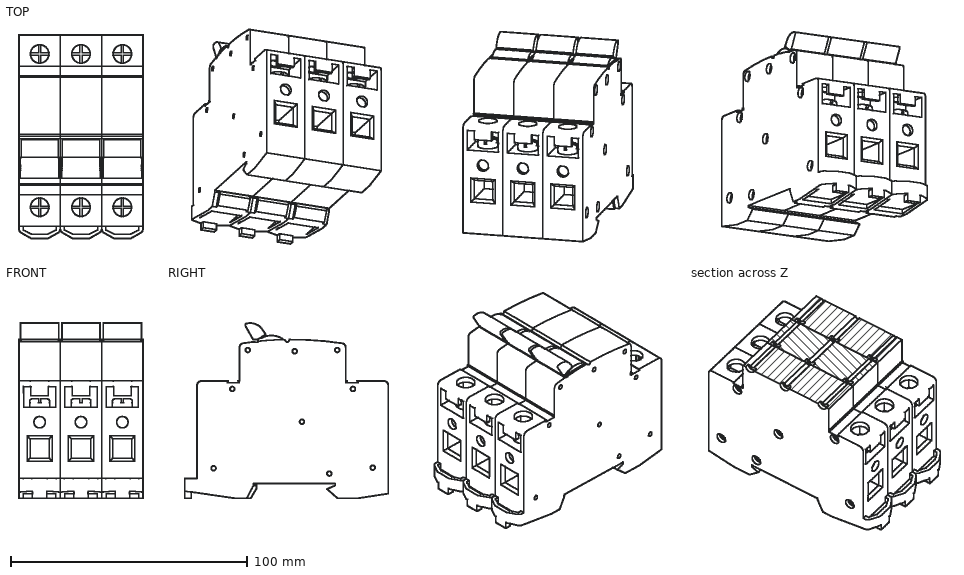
import cadquery as cq
import math


pole_count = 3
pole_width = 17.5
half_width = pole_width / 2

depth = 81.0
mid_y = depth / 2
shelf_z = 49.7
shelf_radius = 2.1
tower_half_depth = 22.5
tower_shoulder_z = 65.4
tower_crown_z = 67.2
tower_radius = 1.8

rail_roof_z = 6.3
rail_back_y = 58.5
rail_front_y = 24.0
rail_lip_z = 5.5
hook_tip_y = 55.0
hook_tip_z = 4.0
hook_heel_y = 59.6
rear_slope_y = 68.1
rear_corner_z = 2.0
clip_heel_y = 21.1
clip_slope_y = 16.1
clip_slope = 0.145

groove_depth = 0.8
groove_open_near = 23.2
groove_open_far = 27.15
groove_floor_far = 27.7

notch_back_y = 39.05
notch_floor_z = 66.2
notch_radius = 0.8
notch_front_y = 38.0
gap_back_y = 25.8
gap_front_y = 24.5
gap_floor_z = 66.1

drum_y = 31.55
drum_z = 60.5
drum_radius = 8.45
drum_width = 15.7
lever_width = 16.2
lever_heel = (29.2, 69.3)
lever_back_top = (27.5, 71.8)
lever_arc_y = 22.6
lever_arc_radius = 6.3
lever_top_z = 74.2
lever_tip_y = 20.1
lever_toe = (23.8, 67.15)
lever_inner_toe = (25.5, 67.15)
lever_tip_radius = 0.7
neck_back_y = 27.2

window_width = 13.6
window_floor_z = 38.6
window_top_z = 47.2
cavity_depth = 13.1
tongue_width = 7.5
tongue_bottom_z = 43.4
tongue_thickness = 1.7
screw_y = 8.1
access_radius = 3.9
screw_radius = 4.2
screw_height = 3.45
screw_rounding = 0.95
screw_slot_width = 0.95
screw_slot_depth = 1.55
dimple_z = 32.2
dimple_radius = 2.4
dimple_depth = 2.1
wire_z = 21.1
wire_mouth = 10.6
wire_bore = 8.1
wire_funnel_depth = 1.3
wire_depth = 17.2

rivet_radius = 0.95
rivet_recess_radius = 2.15
rivet_recess_depth = 1.7
rivet_places = [
    (21.55, 62.75), (41.4, 62.2), (59.4, 62.75),
    (15.0, 46.3), (66.0, 46.3), (44.5, 32.4),
    (7.1, 12.8), (56.0, 10.5), (74.4, 13.0),
]

clip_top_z = 8.45
rim_reach = 5.2
rim_side_reach = 2.2
rim_front_half = 3.5
rim_side_radius = 2.0
rim_front_radius = 1.3
pocket_half = 7.0
pocket_side_reach = 1.55
pocket_front_half = 3.3
pocket_reach = 3.4
pocket_floor_z = 5.5
foot_width = 6.0
foot_back_y = -2.3
tooth_width = 13.8
tooth_tip_y = 25.3
tooth_tip_z = 4.3
tooth_root_y = 22.8
recess_width = 13.8
recess_roof_z = 1.9


def prism_x(points, width):
    """Closed (Y, Z) polygon extruded along X, centred on X = 0."""
    return cq.Workplane("YZ").polyline(points).close().extrude(width / 2, both=True)


def block(width, y_from, y_to, z_from, z_to):
    """Box centred on X = 0 between two Y and two Z values."""
    return (
        cq.Workplane("XY")
        .box(width, y_to - y_from, z_to - z_from, centered=(True, False, False))
        .translate((0, y_from, z_from))
    )


def mirrored_back(shape):
    """Copy of a front feature at the back of the pole."""
    return shape.mirror("XZ").translate((0, depth, 0))


def clip_bottom_z(y):
    """Height of the sloping underside at a given Y."""
    return clip_slope * (clip_slope_y - y)


def housing_block():
    tower_front_y = mid_y - tower_half_depth
    tower_back_y = mid_y + tower_half_depth
    body = (
        cq.Workplane("YZ")
        .moveTo(0, clip_bottom_z(0))
        .lineTo(0, shelf_z)
        .lineTo(tower_front_y, shelf_z)
        .lineTo(tower_front_y, tower_shoulder_z)
        .threePointArc((mid_y, tower_crown_z), (tower_back_y, tower_shoulder_z))
        .lineTo(tower_back_y, shelf_z)
        .lineTo(depth, shelf_z)
        .lineTo(depth, rear_corner_z)
        .lineTo(rear_slope_y, 0)
        .lineTo(hook_heel_y, 0)
        .lineTo(hook_tip_y, hook_tip_z)
        .lineTo(rail_back_y, rail_lip_z)
        .lineTo(rail_back_y, rail_roof_z)
        .lineTo(rail_front_y, rail_roof_z)
        .lineTo(rail_front_y, rail_lip_z)
        .lineTo(clip_heel_y, 0)
        .lineTo(clip_slope_y, 0)
        .close()
        .extrude(half_width, both=True)
    )
    rounded_edges = [
        (0, shelf_z, shelf_radius),
        (depth, shelf_z, shelf_radius),
        (tower_front_y, tower_shoulder_z, tower_radius),
        (tower_back_y, tower_shoulder_z, tower_radius),
    ]
    for y, z, radius in rounded_edges:
        edge = cq.selectors.NearestToPointSelector((0, y, z))
        body = body.edges(edge).fillet(radius)
    return body


def shelf_groove():
    """Dovetail groove in the front shelf."""
    floor_z = shelf_z - groove_depth
    return prism_x(
        [
            (mid_y - groove_open_near, shelf_z),
            (mid_y - tower_half_depth, floor_z),
            (mid_y - groove_floor_far, floor_z),
            (mid_y - groove_open_far, shelf_z),
        ],
        pole_width,
    )


def drum_notch():
    """Notch across the tower top with one rounded and one 45-degree wall."""
    rise = lever_top_z - notch_floor_z
    diagonal = notch_radius * math.sqrt(0.5)
    arc_centre_y = notch_back_y - notch_radius
    arc_centre_z = notch_floor_z + notch_radius
    return (
        cq.Workplane("YZ")
        .moveTo(notch_front_y, notch_floor_z)
        .lineTo(arc_centre_y, notch_floor_z)
        .threePointArc(
            (arc_centre_y + diagonal, arc_centre_z - diagonal),
            (notch_back_y, arc_centre_z),
        )
        .lineTo(notch_back_y, lever_top_z)
        .lineTo(notch_front_y - rise, lever_top_z)
        .close()
        .extrude(half_width, both=True)
    )


def lever_drum():
    return (
        cq.Workplane("YZ")
        .center(drum_y, drum_z)
        .circle(drum_radius)
        .extrude(drum_width / 2, both=True)
    )


def lever():
    arc_centre_z = lever_top_z - lever_arc_radius
    tip_z = arc_centre_z + math.sqrt(lever_arc_radius**2 - (lever_arc_y - lever_tip_y) ** 2)
    return (
        cq.Workplane("YZ")
        .moveTo(*lever_heel)
        .lineTo(*lever_back_top)
        .threePointArc((lever_arc_y, lever_top_z), (lever_tip_y, tip_z))
        .lineTo(*lever_toe)
        .lineTo(*lever_inner_toe)
        .close()
        .extrude(lever_width / 2, both=True)
        .edges(cq.selectors.NearestToPointSelector((0, lever_tip_y, tip_z)))
        .fillet(lever_tip_radius)
    )


def lever_neck():
    """Web that joins the underside of the lever to the drum."""
    run = lever_heel[0] - lever_inner_toe[0]
    slope = (lever_heel[1] - lever_inner_toe[1]) / run
    front_z = lever_inner_toe[1] + slope * (gap_back_y - lever_inner_toe[0])
    back_z = lever_inner_toe[1] + slope * (neck_back_y - lever_inner_toe[0])
    return prism_x(
        [(gap_back_y, drum_z), (gap_back_y, front_z), (neck_back_y, back_z), (neck_back_y, drum_z)],
        drum_width,
    )


def terminal_cavity():
    """Screw chamber with a U-shaped window and a round screwdriver hole."""
    chamber = block(window_width, 0, cavity_depth, window_floor_z, window_top_z)
    tongue = block(tongue_width, 0, tongue_thickness, tongue_bottom_z, window_top_z)
    access = (
        cq.Workplane("XY", origin=(0, screw_y, window_top_z))
        .circle(access_radius)
        .extrude(shelf_z - window_top_z)
    )
    return chamber.cut(tongue).union(access)


def terminal_screw():
    """Cross-slotted screw head standing on the chamber floor."""
    top_z = window_floor_z + screw_height
    slot_z = top_z - screw_slot_depth
    head = (
        cq.Workplane("XY", origin=(0, screw_y, window_floor_z))
        .circle(screw_radius)
        .extrude(screw_height)
        .faces(">Z")
        .edges()
        .fillet(screw_rounding)
    )
    long_side = 2 * screw_radius
    for x_size, y_size in ((long_side, screw_slot_width), (screw_slot_width, long_side)):
        head = head.cut(block(x_size, screw_y - y_size / 2, screw_y + y_size / 2, slot_z, top_z))
    return head


def front_dimple():
    return (
        cq.Workplane("XZ", origin=(0, 0, dimple_z))
        .circle(dimple_radius)
        .extrude(-dimple_depth)
    )


def wire_entry():
    """Square wire hole with a funnel mouth."""
    funnel = (
        cq.Workplane("XZ", origin=(0, 0, wire_z))
        .rect(wire_mouth, wire_mouth)
        .workplane(offset=-wire_funnel_depth)
        .rect(wire_bore, wire_bore)
        .loft()
    )
    half_bore = wire_bore / 2
    bore = block(wire_bore, wire_funnel_depth, wire_depth, wire_z - half_bore, wire_z + half_bore)
    return funnel.union(bore)


def rivet_holes():
    """Through holes along X, each recessed at the left side face."""
    left_face = cq.Workplane("YZ", origin=(-half_width, 0, 0)).pushPoints(rivet_places)
    holes = left_face.circle(rivet_radius).extrude(pole_width)
    recesses = left_face.circle(rivet_recess_radius).extrude(rivet_recess_depth)
    return holes.union(recesses)


def clip_rim():
    """Front rim of the rail clip with its pocket and pull foot."""
    rim = (
        cq.Workplane("XY")
        .polyline(
            [
                (-half_width, 0),
                (-half_width, -rim_side_reach),
                (-rim_front_half, -rim_reach),
                (rim_front_half, -rim_reach),
                (half_width, -rim_side_reach),
                (half_width, 0),
            ]
        )
        .close()
        .extrude(clip_top_z)
    )
    for side in (-1, 1):
        side_edge = cq.selectors.NearestToPointSelector(
            (side * half_width, -rim_side_reach, clip_top_z / 2)
        )
        front_edge = cq.selectors.NearestToPointSelector(
            (side * rim_front_half, -rim_reach, clip_top_z / 2)
        )
        rim = rim.edges(side_edge).fillet(rim_side_radius)
        rim = rim.edges(front_edge).fillet(rim_front_radius)
    below_slope = prism_x(
        [(0, 0), (0, clip_bottom_z(0)), (-rim_reach, clip_bottom_z(-rim_reach)), (-rim_reach, 0)],
        pole_width,
    )
    pocket = (
        cq.Workplane("XY", origin=(0, 0, pocket_floor_z))
        .polyline(
            [
                (-pocket_half, 0),
                (-pocket_half, -pocket_side_reach),
                (-pocket_front_half, -pocket_reach),
                (pocket_front_half, -pocket_reach),
                (pocket_half, -pocket_side_reach),
                (pocket_half, 0),
            ]
        )
        .close()
        .extrude(clip_top_z - pocket_floor_z)
    )
    foot = block(foot_width, -rim_reach, foot_back_y, 0, pocket_floor_z)
    return rim.cut(below_slope).union(foot).cut(pocket)


def clip_tooth():
    """Narrow tooth that reaches under the rail."""
    return prism_x(
        [
            (clip_heel_y, 0),
            (rail_front_y, rail_lip_z),
            (tooth_tip_y, rail_lip_z),
            (tooth_tip_y, tooth_tip_z),
            (tooth_root_y, 0),
        ],
        tooth_width,
    )


def clip_recess():
    """Shallow recess in the sloping underside."""
    return block(recess_width, 0, clip_slope_y, 0, recess_roof_z)


def breaker_pole():
    body = housing_block().cut(drum_notch()).union(lever_drum())
    body = body.cut(block(pole_width, gap_front_y, gap_back_y, gap_floor_z, lever_top_z))
    front_cuts = [shelf_groove(), terminal_cavity(), front_dimple(), wire_entry()]
    for cut in front_cuts:
        body = body.cut(cut).cut(mirrored_back(cut))
    screw = terminal_screw()
    body = body.union(screw).union(mirrored_back(screw))
    body = body.cut(rivet_holes()).cut(clip_recess())
    body = body.union(clip_rim()).union(clip_tooth())
    return body.union(lever_neck()).union(lever())


pole = breaker_pole()
middle = (pole_count - 1) / 2
poles = []
for index in range(pole_count):
    poles.append(pole.translate(((index - middle) * pole_width, 0, 0)).solids().val())

result = cq.Compound.makeCompound(poles)